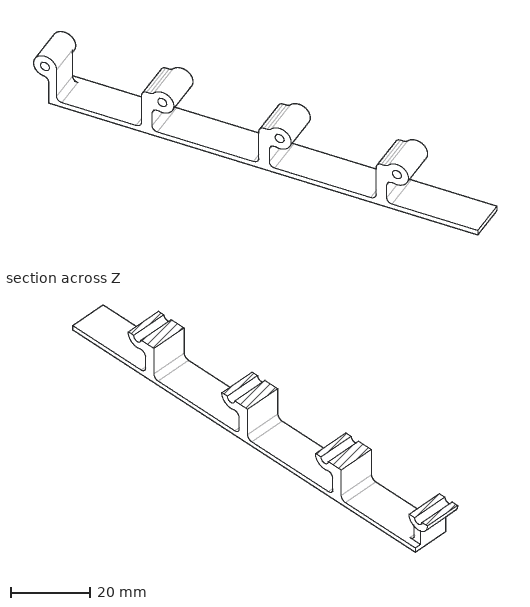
import cadquery as cq
import math

length = 125.0
width = 11.0
height = 14.8
plate_thickness = 1.5

barrel_radius = 3.3
hole_radius = 1.3
barrel_pitch = 33.0
barrel_count = 4
barrel_z = height - barrel_radius

end_wall_thickness = 2.3
post_thickness = 3.0
post_offset = 5.9
post_height = 13.3
fillet_radius = 1.5
notch_width = 1.9

end_wall_right = 2 * barrel_radius
end_wall_left = end_wall_right - end_wall_thickness
first_axis = barrel_radius
post_axes = [first_axis + i * barrel_pitch for i in range(1, barrel_count)]


def block(x_start, x_end, z_start, z_end):
    """Box between two X and two Z positions, over the full width."""
    size = (x_end - x_start, width, z_end - z_start)
    return cq.Workplane("XY").box(*size, centered=False).translate((x_start, 0, z_start))


def cylinder(axis_x, radius):
    """Full-width cylinder along Y on a barrel axis."""
    plane = cq.Workplane("XZ", origin=(axis_x, width, barrel_z))
    return plane.circle(radius).extrude(width)


def round_edge(body, x, z):
    """Fillet the Y-direction edge that passes through (x, z)."""
    edge = cq.selectors.NearestToPointSelector((x, width / 2, z))
    return body.edges("|Y").edges(edge).fillet(fillet_radius)


def barrel_half_chord(distance):
    """Half length of the barrel circle's chord at a distance from its centre."""
    return math.sqrt(barrel_radius**2 - distance**2)


def end_bracket(body):
    """Left wall, tangent to the first barrel, notched below it at the back edge."""
    barrel = cylinder(first_axis, barrel_radius)
    body = body.union(block(end_wall_left, end_wall_right, 0, barrel_z)).union(barrel)
    junction_z = barrel_z - barrel_half_chord(end_wall_left - first_axis)
    body = round_edge(body, end_wall_left, junction_z)
    body = round_edge(body, end_wall_right, plate_thickness)
    notch_end = end_wall_right + fillet_radius
    notch = block(0, notch_end, plate_thickness, barrel_z).translate((0, width - notch_width, 0))
    return body.cut(notch).union(barrel)


def post_bracket(body, axis_x):
    """Post with a rounded top corner, blended into the plate and its barrel."""
    left = axis_x - post_offset
    right = left + post_thickness
    body = body.union(block(left, right, 0, post_height))
    body = body.union(block(left, axis_x, barrel_z, post_height))
    body = body.union(cylinder(axis_x, barrel_radius))
    body = round_edge(body, left, plate_thickness)
    body = round_edge(body, right, plate_thickness)
    body = round_edge(body, left, post_height)
    top_junction_x = axis_x - barrel_half_chord(post_height - barrel_z)
    body = round_edge(body, top_junction_x, post_height)
    under_junction_z = barrel_z - barrel_half_chord(axis_x - right)
    return round_edge(body, right, under_junction_z)


result = block(end_wall_left, length, 0, plate_thickness)
result = end_bracket(result)
for post_axis in post_axes:
    result = post_bracket(result, post_axis)
for hole_axis in [first_axis] + post_axes:
    result = result.cut(cylinder(hole_axis, hole_radius))